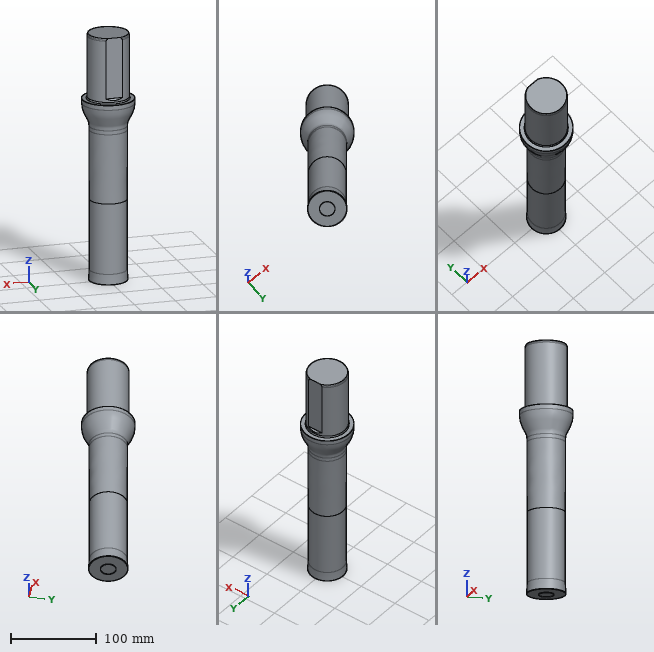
import cadquery as cq

total_height = 302.0
flange_top = 222.5
flange_rim_bottom = 216.8
collar_top = 189.0
collar_bottom = 184.2
joint_height = 99.7
foot_top = 14.0
foot_bottom = 1.0

shank_radius = 49.5 / 2
shank_top_radius = 24.0
shank_chamfer_radius = 24.5
shank_chamfer_height = 1.5
shank_lead_in_height = 3.0
shank_base_radius = 25.7
shank_base_height = 1.8
flat_distance = 22.5
flat_end_height = 6.0
flat_runout_height = 4.0

flange_radius = 62.5 / 2
flange_edge_chamfer = 0.3
collar_radius = 45.3 / 2
bowl_radius = 28.0
bowl_height = 204.0
neck_radius = 24.5
neck_height = 197.0

tube_radius = 44.7 / 2
foot_radius = 46.2 / 2
foot_edge_chamfer = 0.5
boss_radius = 9.0


def make_turned_upper():
    """Shank, flange, curved neck and slightly tapered upper tube revolved about Z."""
    return (
        cq.Workplane("XZ")
        .moveTo(0, total_height)
        .lineTo(shank_top_radius, total_height)
        .lineTo(shank_chamfer_radius, total_height - shank_chamfer_height)
        .lineTo(shank_radius, total_height - shank_lead_in_height)
        .lineTo(shank_radius, flange_top + shank_base_height)
        .lineTo(shank_base_radius, flange_top)
        .lineTo(flange_radius - flange_edge_chamfer, flange_top)
        .lineTo(flange_radius, flange_top - flange_edge_chamfer)
        .lineTo(flange_radius, flange_rim_bottom)
        .spline(
            [(bowl_radius, bowl_height), (neck_radius, neck_height), (collar_radius, collar_top)],
            tangents=[(0, -1), (0, -1)],
            includeCurrent=True,
        )
        .lineTo(collar_radius, collar_bottom)
        .lineTo(tube_radius, joint_height)
        .lineTo(0, joint_height)
        .close()
        .revolve(360, (0, 0), (0, 1))
    )


def make_flat_cutter():
    """Block that cuts the +Y flat, with a ramp at its lower end."""
    outer_y = flange_radius
    return (
        cq.Workplane("YZ")
        .moveTo(flat_distance, total_height)
        .lineTo(flat_distance, flange_top + flat_end_height)
        .lineTo(shank_radius, flange_top + flat_runout_height)
        .lineTo(outer_y, flange_top + flat_runout_height)
        .lineTo(outer_y, total_height)
        .close()
        .extrude(shank_radius, both=True)
    )


def make_upper_body():
    return make_turned_upper().cut(make_flat_cutter())


def make_lower_body():
    """Lower tube with a slightly flared foot and a shallow end boss."""
    return (
        cq.Workplane("XZ")
        .moveTo(0, joint_height)
        .lineTo(tube_radius, joint_height)
        .lineTo(tube_radius, foot_top)
        .lineTo(foot_radius, foot_bottom + foot_edge_chamfer)
        .lineTo(foot_radius - foot_edge_chamfer, foot_bottom)
        .lineTo(boss_radius, foot_bottom)
        .lineTo(boss_radius, 0)
        .lineTo(0, 0)
        .close()
        .revolve(360, (0, 0), (0, 1))
    )


upper_body = make_upper_body()
lower_body = make_lower_body()

result = cq.Compound.makeCompound([upper_body.val(), lower_body.val()])